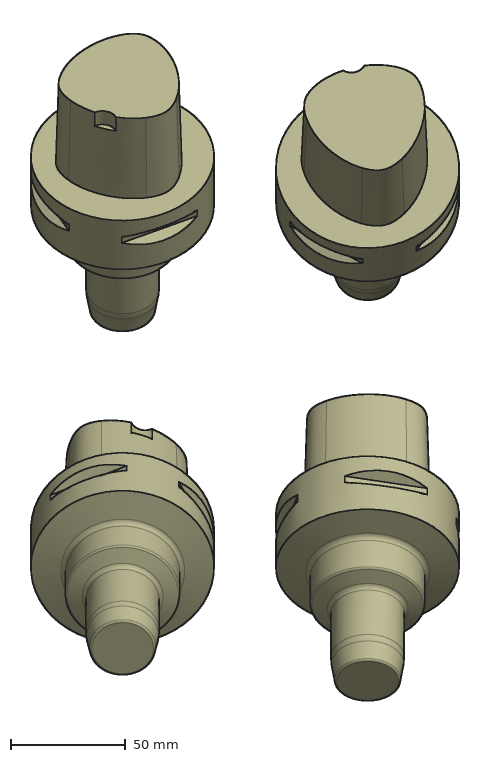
import cadquery as cq
import math


SHANK_WIDTH = 55.0
SHANK_HEIGHT = 48.0
SHANK_TAPER = 1 / 20
LOBE_RISE = 2.0
LOBE_COUNT = 3
SIDE_FACE_TURN = 55.0
SPANS_PER_FACE = 8

NOTCH_RADIUS = 6.5
NOTCH_DEPTH = 2.4
NOTCH_HEIGHT = 8.3

FLANGE_RADIUS = 80.0 / 2
FLANGE_HEIGHT = 30.0
FLANGE_CONE_ANGLE = 11.5
COLLAR_RADIUS = 50.0 / 2
COLLAR_BOTTOM = -50.7
COLLAR_CONE_ANGLE = 20.0
COLLAR_ROUNDING = 1.0
NECK_FILLET = 2.5
PIN_RADIUS = 32.0 / 2
PIN_BOTTOM = -94.0
PIN_TAPER_START = -82.55
PIN_TAPER_ANGLE = 8.5
PIN_TAPER_ROUNDING = 23.5
PIN_END_ROUNDING = 1.0

GROOVE_COUNT = 4
GROOVE_FIRST_ANGLE = 45.0
GROOVE_Z = -12.0
GROOVE_FLOOR_HEIGHT = 3.5
GROOVE_FLOOR_DISTANCE = 35.5
GROOVE_WALL_ANGLE = 30.0


def drop(run, angle):
    """Height lost over a horizontal run at an angle in degrees."""
    return run * math.tan(math.radians(angle))


def polygon_point(mean_radius, angle, z):
    """Point of the lobed outline whose outward normal is at the angle, in radians."""
    phase = LOBE_COUNT * (angle - math.pi / 2)
    reach = mean_radius + LOBE_RISE * math.cos(phase)
    slide = -LOBE_COUNT * LOBE_RISE * math.sin(phase)
    x = reach * math.cos(angle) - slide * math.sin(angle)
    y = reach * math.sin(angle) + slide * math.cos(angle)
    return cq.Vector(x, y, z)


def polygon_edge(mean_radius, z, start, turn):
    """Spline along the part of the lobed outline that belongs to one face."""
    points = []
    for step in range(SPANS_PER_FACE + 1):
        angle = start + turn * step / SPANS_PER_FACE
        points.append(polygon_point(mean_radius, angle, z))
    return cq.Edge.makeSpline(points)


def polygon_wire(mean_radius, z):
    """Closed lobed outline at a height, one spline for each face of the shank."""
    lobe_spacing = 2 * math.pi / LOBE_COUNT
    side_turn = math.radians(SIDE_FACE_TURN)
    lobe_turn = lobe_spacing - side_turn
    edges = []
    for lobe in range(LOBE_COUNT):
        lobe_start = math.pi / 2 + lobe * lobe_spacing - lobe_turn / 2
        side_start = lobe_start + lobe_turn
        edges.append(polygon_edge(mean_radius, z, lobe_start, lobe_turn))
        edges.append(polygon_edge(mean_radius, z, side_start, side_turn))
    return cq.Wire.assembleEdges(edges)


def tip_mean_radius():
    """Mean radius of the lobed outline at the tip of the shank."""
    return (SHANK_WIDTH - SHANK_HEIGHT * SHANK_TAPER) / 2


def make_shank():
    base = polygon_wire(SHANK_WIDTH / 2, 0)
    tip = polygon_wire(tip_mean_radius(), SHANK_HEIGHT)
    return cq.Workplane(cq.Solid.makeLoft([base, tip], True))


def make_notch():
    """Round cutter for the key notch, entering the flattest part of the shank."""
    side_distance = tip_mean_radius() - LOBE_RISE
    center_y = -(side_distance - NOTCH_DEPTH + NOTCH_RADIUS)
    return (
        cq.Workplane("XY", origin=(0, center_y, SHANK_HEIGHT - NOTCH_HEIGHT))
        .circle(NOTCH_RADIUS)
        .extrude(NOTCH_HEIGHT)
    )


def rounded_corner(profile, radius, z, rounding):
    """Round one corner of a flat XZ profile."""
    size = 0.01
    corner = cq.selectors.BoxSelector(
        (radius - size, -size, z - size), (radius + size, size, z + size)
    )
    vertices = profile.vertices(corner).vals()
    return cq.Workplane(profile.val().fillet2D(rounding, vertices))


def make_body():
    """Flange, collar and pin, revolved about Z."""
    flange_bottom = -FLANGE_HEIGHT
    collar_top = flange_bottom - drop(FLANGE_RADIUS - COLLAR_RADIUS, FLANGE_CONE_ANGLE)
    pin_top = COLLAR_BOTTOM - drop(COLLAR_RADIUS - PIN_RADIUS, COLLAR_CONE_ANGLE)
    pin_end_radius = PIN_RADIUS - drop(PIN_TAPER_START - PIN_BOTTOM, PIN_TAPER_ANGLE)
    outline = [
        (0, 0),
        (FLANGE_RADIUS, 0),
        (FLANGE_RADIUS, flange_bottom),
        (COLLAR_RADIUS, collar_top),
        (COLLAR_RADIUS, COLLAR_BOTTOM),
        (PIN_RADIUS, pin_top),
        (PIN_RADIUS, PIN_TAPER_START),
        (pin_end_radius, PIN_BOTTOM),
        (0, PIN_BOTTOM),
    ]
    wire = cq.Workplane("XZ").polyline(outline).close().val()
    profile = cq.Workplane(cq.Face.makeFromWires(wire))
    roundings = [
        (COLLAR_RADIUS, collar_top, NECK_FILLET),
        (COLLAR_RADIUS, COLLAR_BOTTOM, COLLAR_ROUNDING),
        (PIN_RADIUS, pin_top, NECK_FILLET),
        (PIN_RADIUS, PIN_TAPER_START, PIN_TAPER_ROUNDING),
        (pin_end_radius, PIN_BOTTOM, PIN_END_ROUNDING),
    ]
    for radius, z, rounding in roundings:
        profile = rounded_corner(profile, radius, z, rounding)
    axis_start = cq.Vector(0, 0, 0)
    axis_end = cq.Vector(0, 0, 1)
    return cq.Workplane(cq.Solid.revolve(profile.val(), 360, axis_start, axis_end))


def make_groove(angle):
    """Straight flat-bottomed V cutter across the flange rim, facing the angle."""
    floor = GROOVE_FLOOR_HEIGHT / 2
    mouth = floor + drop(FLANGE_RADIUS - GROOVE_FLOOR_DISTANCE, GROOVE_WALL_ANGLE)
    section = [
        (GROOVE_FLOOR_DISTANCE, GROOVE_Z - floor),
        (FLANGE_RADIUS, GROOVE_Z - mouth),
        (FLANGE_RADIUS, GROOVE_Z + mouth),
        (GROOVE_FLOOR_DISTANCE, GROOVE_Z + floor),
    ]
    cutter = cq.Workplane("XZ").polyline(section).close().extrude(FLANGE_RADIUS, both=True)
    return cutter.rotate((0, 0, 0), (0, 0, 1), angle)


result = make_body().union(make_shank().cut(make_notch()))
for index in range(GROOVE_COUNT):
    groove_angle = GROOVE_FIRST_ANGLE + index * 360.0 / GROOVE_COUNT
    result = result.cut(make_groove(groove_angle))